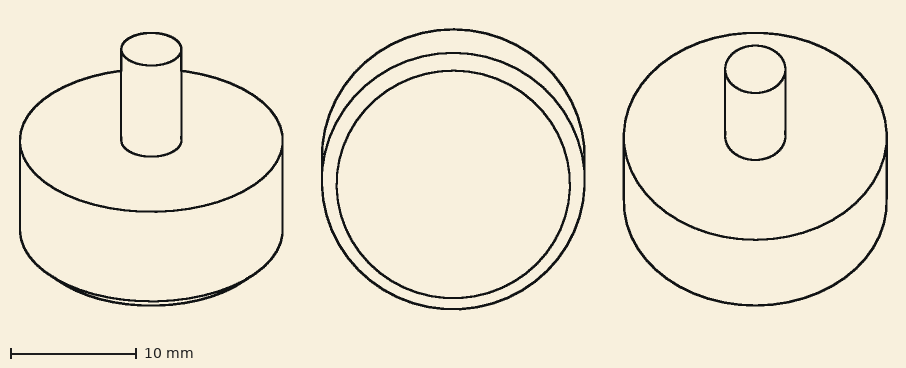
import cadquery as cq

total_height = 21.1
body_diameter = 20.9
pin_diameter = 4.8
pin_length = 8.63
chamfer_size = 1.18
cone_height = 2.8

body_radius = body_diameter / 2
pin_radius = pin_diameter / 2
cone_radius = body_radius - chamfer_size
chamfer_top = cone_height + chamfer_size
body_top = total_height - pin_length

half_section = (
    cq.Workplane("XZ")
    .moveTo(0, 0)
    .lineTo(cone_radius, cone_height)
    .lineTo(body_radius, chamfer_top)
    .lineTo(body_radius, body_top)
    .lineTo(pin_radius, body_top)
    .lineTo(pin_radius, total_height)
    .lineTo(0, total_height)
    .close()
)

result = half_section.revolve(360, (0, 0), (0, 1))